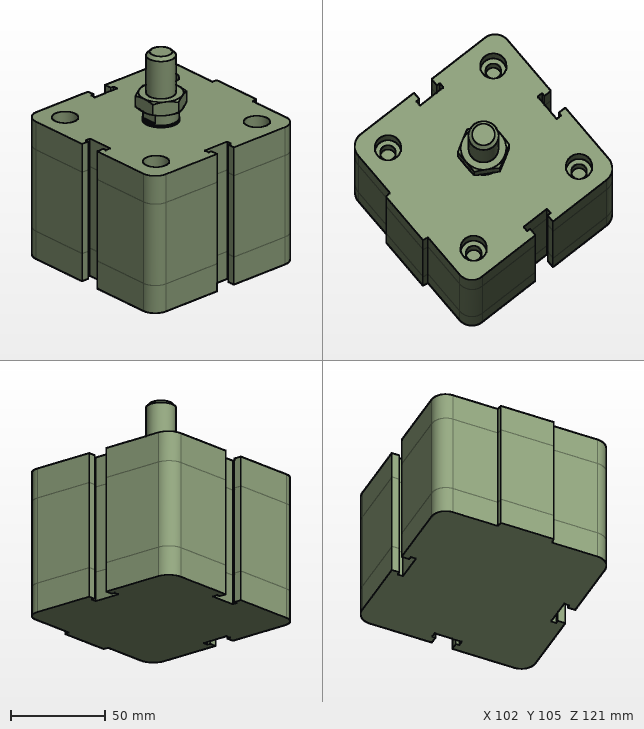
import cadquery as cq
import math

housing_width = 102.0
housing_height = 81.0
corner_radius = 8.5
end_cap_height = 16.5
barrel_height = housing_height - 2 * end_cap_height

rail_height = 3.0
rail_top_width = 31.0
rail_root_width = 32.0

slot_mouth_width = 12.0
slot_inner_width = 16.0
slot_lip_depth = 4.5
slot_depth = 7.5

screw_spacing = 72.0
counterbore_diameter = 14.0
counterbore_depth = 9.0
screw_hole_diameter = 8.38
screw_hole_depth = end_cap_height

rod_diameter = 20.0
rod_band_height = 0.7
rod_step_height = 1.2
rod_neck_diameter = 19.5
rod_flat_spacing = 17.0
rod_flat_bottom = 2.1
nut_bottom = 8.0
neck_chamfer = 0.6
rod_end = 40.0
thread_diameter = 16.0
thread_chamfer_width = 2.0
thread_chamfer_height = 2.0

nut_across_flats = 24.0
nut_across_corners = nut_across_flats / math.cos(math.pi / 6)
nut_height = 8.0
nut_face_diameter = nut_across_flats
nut_chamfer_slope = 0.5


def housing_section(bottom, height):
    """One length of the housing profile: rounded square, rail and T-slots."""
    half = housing_width / 2
    section = cq.Workplane("XY").rect(housing_width, housing_width).extrude(height)
    section = section.edges("|Z").fillet(corner_radius)
    rail = (
        cq.Workplane("XY")
        .moveTo(-rail_root_width / 2, half)
        .lineTo(-rail_top_width / 2, half + rail_height)
        .lineTo(rail_top_width / 2, half + rail_height)
        .lineTo(rail_root_width / 2, half)
        .lineTo(rail_root_width / 2, half - rail_height)
        .lineTo(-rail_root_width / 2, half - rail_height)
        .close()
        .extrude(height)
    )
    section = section.union(rail)
    mouth = cq.Workplane("XY").center(0, -half + slot_depth / 2).rect(slot_mouth_width, slot_depth)
    undercut_depth = slot_depth - slot_lip_depth
    undercut = (
        cq.Workplane("XY")
        .center(0, -half + slot_lip_depth + undercut_depth / 2)
        .rect(slot_inner_width, undercut_depth)
    )
    slot = mouth.extrude(height).union(undercut.extrude(height))
    for angle in (-90, 0, 90):
        section = section.cut(slot.rotate((0, 0, 0), (0, 0, 1), angle))
    return section.translate((0, 0, bottom))


def make_housing():
    """Lower cap, barrel and upper cap as one solid, with the seam lines kept on the sides."""
    housing = housing_section(0, end_cap_height)
    housing = housing.union(housing_section(end_cap_height, barrel_height), clean=False)
    housing = housing.union(housing_section(end_cap_height + barrel_height, end_cap_height), clean=False)
    top = cq.Workplane("XY").workplane(offset=housing_height)
    screw_places = top.rect(screw_spacing, screw_spacing, forConstruction=True).vertices()
    counterbores = screw_places.circle(counterbore_diameter / 2).extrude(-counterbore_depth)
    screw_holes = screw_places.circle(screw_hole_diameter / 2).extrude(-screw_hole_depth)
    rod_bore = top.circle(rod_diameter / 2).extrude(-end_cap_height)
    for hole in (counterbores, screw_holes, rod_bore):
        housing = housing.cut(hole, clean=False)
    return housing


def make_rod():
    """Turned rod with a flatted neck and a threaded end, seated in the upper cap."""
    rod_radius = rod_diameter / 2
    neck_radius = rod_neck_diameter / 2
    thread_radius = thread_diameter / 2
    rod = (
        cq.Workplane("XZ")
        .moveTo(0, -end_cap_height)
        .lineTo(rod_radius, -end_cap_height)
        .lineTo(rod_radius, rod_band_height)
        .lineTo(neck_radius, rod_step_height)
        .lineTo(neck_radius, nut_bottom - neck_chamfer)
        .lineTo(neck_radius - neck_chamfer, nut_bottom)
        .lineTo(thread_radius, nut_bottom)
        .lineTo(thread_radius, rod_end - thread_chamfer_height)
        .lineTo(thread_radius - thread_chamfer_width, rod_end)
        .lineTo(0, rod_end)
        .close()
        .revolve(360, (0, 0, 0), (0, 1, 0))
    )
    flat_height = nut_bottom - rod_flat_bottom
    for side in (-1, 1):
        flat_cut = (
            cq.Workplane("XY")
            .workplane(offset=rod_flat_bottom)
            .center(0, side * (rod_flat_spacing + rod_diameter) / 2)
            .rect(2 * rod_diameter, rod_diameter)
            .extrude(flat_height)
        )
        rod = rod.cut(flat_cut)
    return rod.translate((0, 0, housing_height))


def make_nut():
    """Hexagon nut with corners at +X and -X, chamfered on both faces."""
    hexagon = cq.Workplane("XY").polygon(6, nut_across_corners).extrude(nut_height)
    face_radius = nut_face_diameter / 2
    outer_radius = face_radius + nut_height / 2
    chamfer_rise = (outer_radius - face_radius) * nut_chamfer_slope
    chamfer_envelope = (
        cq.Workplane("XZ")
        .moveTo(0, 0)
        .lineTo(face_radius, 0)
        .lineTo(outer_radius, chamfer_rise)
        .lineTo(outer_radius, nut_height - chamfer_rise)
        .lineTo(face_radius, nut_height)
        .lineTo(0, nut_height)
        .close()
        .revolve(360, (0, 0, 0), (0, 1, 0))
    )
    bore = cq.Workplane("XY").circle(thread_diameter / 2).extrude(nut_height)
    nut = hexagon.intersect(chamfer_envelope).cut(bore)
    return nut.translate((0, 0, housing_height + nut_bottom))


housing = make_housing()
rod = make_rod()
nut = make_nut()

result = cq.Compound.makeCompound([housing.val(), rod.val(), nut.val()])